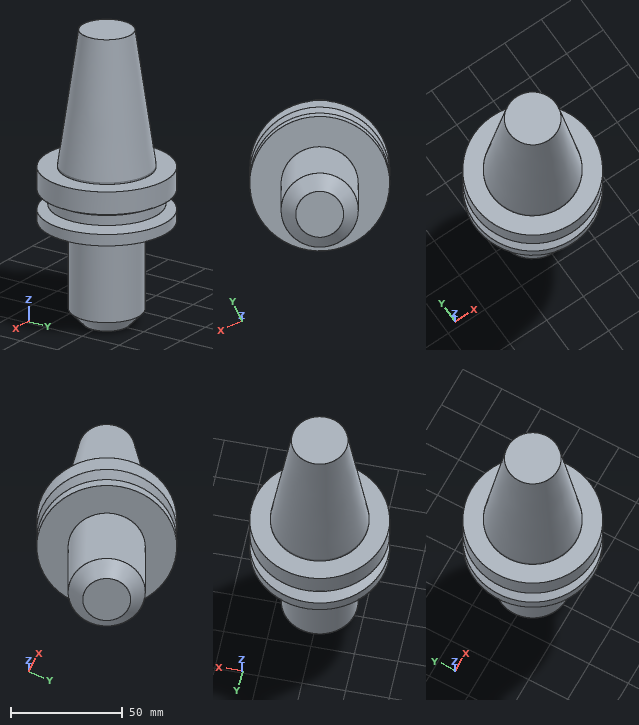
import cadquery as cq

total_length = 141.6

nose_diameter = 34.7
tip_diameter = 21.5
tip_length = 6.8
nose_length = 49.4

flange_diameter = 63.0
groove_diameter = 53.1
lower_rim_length = 5.5
groove_flank_length = 2.4
groove_floor_length = 4.8
upper_rim_length = 10.9

shank_diameter = 44.5
neck_length = 0.7
small_end_diameter = 25.5

flange_bottom = nose_length
groove_bottom = flange_bottom + lower_rim_length
floor_bottom = groove_bottom + groove_flank_length
floor_top = floor_bottom + groove_floor_length
groove_top = floor_top + groove_flank_length
flange_top = groove_top + upper_rim_length
taper_start = flange_top + neck_length

profile = [
    (0, 0),
    (tip_diameter / 2, 0),
    (nose_diameter / 2, tip_length),
    (nose_diameter / 2, flange_bottom),
    (flange_diameter / 2, flange_bottom),
    (flange_diameter / 2, groove_bottom),
    (groove_diameter / 2, floor_bottom),
    (groove_diameter / 2, floor_top),
    (flange_diameter / 2, groove_top),
    (flange_diameter / 2, flange_top),
    (shank_diameter / 2, flange_top),
    (shank_diameter / 2, taper_start),
    (small_end_diameter / 2, total_length),
    (0, total_length),
]

result = cq.Workplane("XZ").polyline(profile).close().revolve(360, (0, 0, 0), (0, 1, 0))